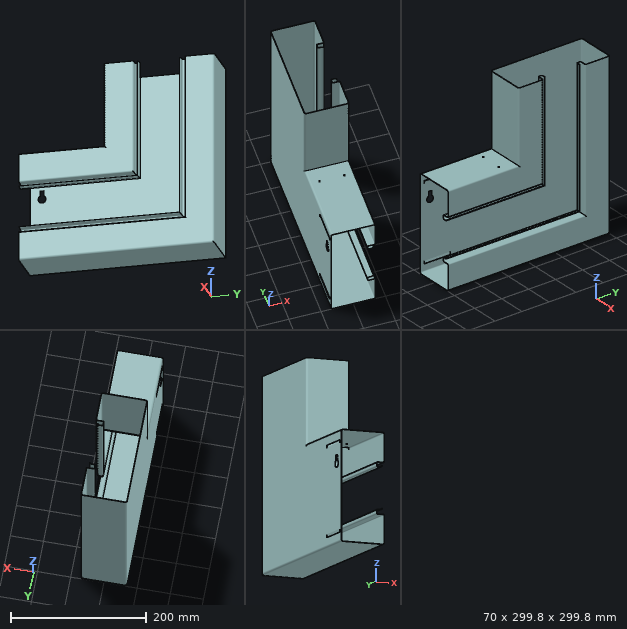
import cadquery as cq
import math

ARM_REACH = 299.8
DUCT_DEPTH = 70.0
DUCT_WIDTH = 169.7
SHEET = 1.05
BEND_RADIUS = 3.3

FLANGE_WIDTH = 46.2
LIP_DEPTH = 13.0
LIP_WIDTH = 8.0
LIP_BEND_RADIUS = 2.5
RETURN_LENGTH = 5.7
TIP_LENGTH = 4.2
TIP_RADIUS = 4.0

KEY_END_GAP = 18.0
KEY_Z = 120.5
KEY_DIAMETER = 11.7
KEY_SLOT_WIDTH = 5.7
KEY_SLOT_RISE = 13.2

TAB_END_GAP = 7.0
TAB_LENGTH = 48.5
TAB_HEIGHT = 4.2
TAB_DEPTH = 1.0
TAB_EDGE_GAP = 15.3

SCREW_DIAMETER = 2.0
SCREW_X = (15.5, 54.3)
SCREW_END_GAP = 105.2

OPEN_END = -ARM_REACH
LIP_CREST = DUCT_DEPTH - LIP_DEPTH
LIP_BASE = FLANGE_WIDTH - SHEET
LIP_TOP = LIP_BASE + LIP_WIDTH


def bar(x0, x1, z0, z1, length=ARM_REACH):
    """Rectangular bar of the given length, starting at the open end of the lower arm."""
    block = cq.Workplane("XY").box(x1 - x0, length, z1 - z0, centered=False)
    return block.translate((x0, OPEN_END, z0))


def bent_sheet(x0, x1, z0, z1, radius, bends="|Y"):
    """Hollow bar of sheet, rounded at the selected bends."""
    outer = bar(x0, x1, z0, z1).edges(bends).fillet(radius)
    inner = bar(x0 + SHEET, x1 - SHEET, z0 + SHEET, z1 - SHEET)
    return outer.cut(inner.edges(bends).fillet(radius - SHEET))


def flipped(solid):
    """The same solid on the other side wall of the lower arm."""
    return solid.mirror("XY").translate((0, 0, DUCT_WIDTH))


def lip_tip(toward_mouth_centre):
    """Curled end of the lip return, tangent to it."""
    outer_radius = TIP_RADIUS + SHEET
    swing = math.asin(TIP_LENGTH / outer_radius)

    def on_arc(radius, angle):
        return radius * math.sin(angle), -radius * math.cos(angle)

    profile = (
        cq.Workplane("XZ")
        .moveTo(*on_arc(outer_radius, 0))
        .threePointArc(on_arc(outer_radius, swing / 2), on_arc(outer_radius, swing))
        .lineTo(*on_arc(TIP_RADIUS, swing))
        .threePointArc(on_arc(TIP_RADIUS, swing / 2), on_arc(TIP_RADIUS, 0))
        .close()
    )
    tip = profile.extrude(ARM_REACH).translate((0, 0, outer_radius - SHEET / 2))
    if not toward_mouth_centre:
        tip = tip.mirror("XY")
    return tip.translate((LIP_CREST + RETURN_LENGTH, 0, LIP_TOP - SHEET / 2))


def lip(tip_toward_centre):
    """Bend at the flange edge, then web, crest and return with its curled tip."""
    flange_bend = bent_sheet(LIP_CREST, DUCT_DEPTH, 0, FLANGE_WIDTH, LIP_BEND_RADIUS, "|Y and >X and >Z")
    flange_bend = flange_bend.intersect(
        bar(DUCT_DEPTH - LIP_BEND_RADIUS, DUCT_DEPTH, FLANGE_WIDTH - LIP_BEND_RADIUS, FLANGE_WIDTH)
    )
    channel = bent_sheet(LIP_CREST, DUCT_DEPTH, LIP_BASE, LIP_TOP, LIP_BEND_RADIUS, "|Y and <X")
    web_end = DUCT_DEPTH - LIP_BEND_RADIUS
    return_end = LIP_CREST + RETURN_LENGTH
    channel = channel.cut(bar(web_end, DUCT_DEPTH, LIP_BASE, LIP_TOP))
    channel = channel.cut(bar(return_end, DUCT_DEPTH, FLANGE_WIDTH, LIP_TOP))
    return flange_bend.union(channel).union(lip_tip(tip_toward_centre))


def mitred_arm():
    """Lower arm without its holes, cut off along the diagonal joint."""
    tube = bent_sheet(0, DUCT_DEPTH, 0, DUCT_WIDTH, BEND_RADIUS)
    flange_end = FLANGE_WIDTH - LIP_BEND_RADIUS
    mouth = bar(LIP_CREST, DUCT_DEPTH, flange_end, DUCT_WIDTH - flange_end)
    duct = tube.cut(mouth).union(lip(True)).union(flipped(lip(False)))
    joint = [(0, 0), (OPEN_END, 0), (OPEN_END, ARM_REACH)]
    return duct.intersect(cq.Workplane("YZ").polyline(joint).close().extrude(DUCT_DEPTH))


def keyhole():
    back = cq.Workplane("YZ", origin=(0, OPEN_END + KEY_END_GAP, KEY_Z))
    round_part = back.circle(KEY_DIAMETER / 2).extrude(SHEET)
    slot = back.center(0, KEY_SLOT_RISE / 2).rect(KEY_SLOT_WIDTH, KEY_SLOT_RISE).extrude(SHEET)
    return round_part.union(slot)


def tab_window():
    window = bar(0, SHEET, TAB_EDGE_GAP, TAB_EDGE_GAP + TAB_HEIGHT, TAB_LENGTH)
    return window.translate((0, TAB_END_GAP, 0))


def tab():
    """Sloping tongue, hinged on the edge away from the side wall."""
    hinge_z = TAB_EDGE_GAP + TAB_HEIGHT
    section = [
        (0, hinge_z),
        (TAB_DEPTH, TAB_EDGE_GAP),
        (TAB_DEPTH + SHEET, TAB_EDGE_GAP),
        (SHEET, hinge_z),
    ]
    start = cq.Workplane("XZ", origin=(0, OPEN_END + TAB_END_GAP, 0))
    return start.polyline(section).close().extrude(-TAB_LENGTH)


def screw_holes():
    wall = cq.Workplane("XY", origin=(0, OPEN_END + SCREW_END_GAP, DUCT_WIDTH - SHEET))
    return wall.pushPoints([(x, 0) for x in SCREW_X]).circle(SCREW_DIAMETER / 2).extrude(SHEET)


plain_arm = mitred_arm()
upper_arm = plain_arm.mirror(cq.Vector(0, 1, 1))

lower_arm = plain_arm.cut(keyhole()).cut(screw_holes())
lower_arm = lower_arm.cut(tab_window()).cut(flipped(tab_window()))
lower_arm = lower_arm.union(tab()).union(flipped(tab()))

result = lower_arm.union(upper_arm)